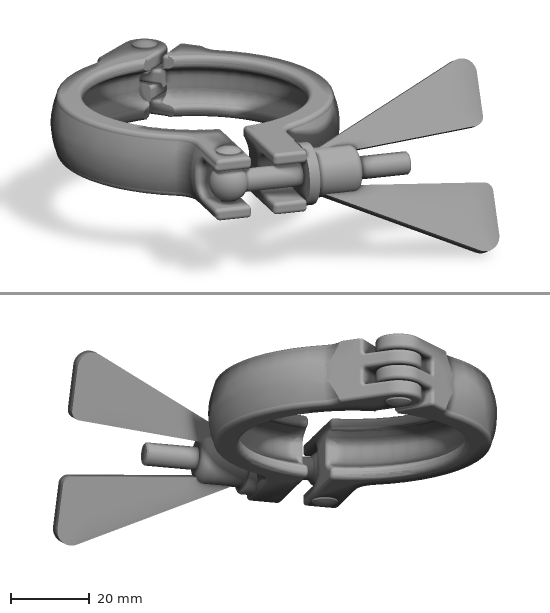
import cadquery as cq
import math


body_height = 16.3
half_height = body_height / 2
outer_radius = 36.8
rim_edge_radius = 35.4
face_outer_radius = 34.2
bore_radius = 28.8
edge_round = 1.3
groove_radius = 33.4
groove_floor_half = 3.1
groove_mouth_half = 4.9
groove_floor_round = 2.1
mouth_round = 1.3
half_gap = 3.0

lug_end_x = 53.7
lug_start_x = 37.1
neck_face_radius = 7.2
lug_round = 1.0
slot_start_x = 41.1
slot_half_height = 5.0
slot_corner_radius = 3.2
seat_y = 12.0
seat_radius = 8.7

hinge_x = -40.2
knuckle_radius = 5.8
arm_angle = 47.5
arm_length = 21.2
shoulder = 7.4
knuckle_gap = 0.3
knuckle_round = 0.8
flat_length = 12.5
relief_face_radius = 6.4

pin_radius = 2.1
pin_head_radius = 3.3
pin_head_rim = 0.4
pin_dome_height = 0.9

bolt_x = 47.6
bolt_radius = 3.0
bolt_end_y = 41.0
bolt_chamfer = 0.4
ball_y = -7.1
ball_radius = 5.04
ball_half_height = 4.72
flange_radius = 8.1
flange_top_y = 15.0
flange_round = 0.5
nut_radius = 6.4
nut_top_y = 27.2
nut_round = 2.2
nut_base_round = 0.6
wing_tilt = 25.0
wing_thickness = 4.2
wing_root_y = 15.9
wing_end_y = 61.9
wing_outer_root = 5.3
wing_outer_tip = 27.1
wing_inner_root = 3.66
wing_inner_tip = 7.47
wing_outer_round = 3.9
wing_inner_round = 2.3

far = 84.8
round_inset = 1 - math.sqrt(0.5)
margin = 0.1


def polar(radius, angle):
    return radius * math.cos(angle), radius * math.sin(angle)


def box_between(low, high):
    size = [b - a for a, b in zip(low, high)]
    return cq.Workplane("XY").box(*size, centered=False).translate(low)


def edges_at_y(body, y):
    """Edges on the closing side of the clamp that are centred on the plane at y."""
    return body.edges(cq.selectors.BoxSelector((0, y - margin, -far), (far, y + margin, far)))


def cylinder_y(radius, low, high):
    """Cylinder on the bolt axis between two Y positions."""
    return cq.Workplane("XZ").circle(radius).extrude(low - high).translate((bolt_x, low, 0))


def prism(points):
    return cq.Workplane("XY").polyline(points).close().extrude(half_height, both=True)


def rim_path(start, place):
    """Draw the rim from the top face to the bottom face; place maps a radius to a sketch coordinate."""
    rim_width = rim_edge_radius - face_outer_radius
    mid_radius = rim_edge_radius - round_inset * rim_width
    mid_height = half_height - round_inset * edge_round
    side_height = half_height - edge_round
    return (
        start.threePointArc((place(mid_radius), mid_height), (place(rim_edge_radius), side_height))
        .threePointArc((place(outer_radius), 0), (place(rim_edge_radius), -side_height))
        .threePointArc((place(mid_radius), -mid_height), (place(face_outer_radius), -half_height))
    )


def rim_section(place, base):
    """Closed section between the straight line at base and the rim."""
    start = cq.Workplane("XZ").moveTo(base, half_height).lineTo(place(face_outer_radius), half_height)
    return rim_path(start, place).lineTo(base, -half_height).close()


def concave_blend(centre, face_radius):
    """Round cutter whose waisted side rolls tangent along the rim of the ring."""
    centre_distance = face_outer_radius + face_radius
    section = rim_section(lambda radius: centre_distance - radius, 0)
    return section.revolve(360, (0, 0, 0), (0, 1, 0)).translate((centre[0], centre[1], 0))


def bore_cutter():
    """Bore with rounded mouths and the tapered groove inside it."""
    lip_mid = edge_round * round_inset
    mouth_mid = mouth_round * round_inset
    side_height = half_height - edge_round
    lip_low = groove_mouth_half + mouth_round
    section = (
        cq.Workplane("XZ")
        .moveTo(0, half_height)
        .lineTo(bore_radius + edge_round, half_height)
        .threePointArc((bore_radius + lip_mid, half_height - lip_mid), (bore_radius, side_height))
        .lineTo(bore_radius, lip_low)
        .threePointArc(
            (bore_radius + mouth_mid, groove_mouth_half + mouth_mid),
            (bore_radius + mouth_round, groove_mouth_half),
        )
        .lineTo(groove_radius, groove_floor_half)
        .lineTo(groove_radius, 0)
        .lineTo(0, 0)
        .close()
    )
    upper = section.revolve(360, (0, 0, 0), (0, 1, 0))
    floor_low = (-far, -far, groove_floor_half - margin)
    floor_high = (far, far, groove_floor_half + margin)
    floor_rim = upper.edges(cq.selectors.BoxSelector(floor_low, floor_high, boundingbox=True))
    upper = floor_rim.fillet(groove_floor_round)
    return upper.union(upper.mirror("XY"))


def to_arm(body):
    """Move a body from the hinge frame (pin at the origin, arm along +X) to its place."""
    return body.rotate((0, 0, 0), (0, 0, 1), arm_angle).translate((hinge_x, 0, 0))


def hinge_side(distance):
    """Half space on the hinge side of a plane across the arm, at this distance from the hinge pin."""
    return to_arm(box_between((-far, -far, -far), (distance, far, far)))


def hinge_arm():
    """Arm with two rounded knuckles, blended into the ring on its outer side."""
    arm = (
        cq.Workplane("XY")
        .moveTo(arm_length, knuckle_radius)
        .lineTo(0, knuckle_radius)
        .threePointArc((-knuckle_radius, 0), (0, -knuckle_radius))
        .lineTo(arm_length, -knuckle_radius)
        .close()
        .extrude(half_height, both=True)
    )
    pitch = body_height / 4
    for slot_bottom, slot_top in ((pitch, far), (-pitch, 0)):
        low = (-far, -far, slot_bottom - knuckle_gap / 2)
        arm = arm.cut(box_between(low, (shoulder, far, slot_top + knuckle_gap / 2)))
    arm = arm.edges("not(>X)").fillet(knuckle_round)
    arm = to_arm(arm)

    tilt = math.radians(arm_angle)
    flat_end_x = hinge_x + flat_length * math.cos(tilt) - knuckle_radius * math.sin(tilt)
    flat_end_y = flat_length * math.sin(tilt) + knuckle_radius * math.cos(tilt)
    flat_end_distance = math.hypot(flat_end_x, flat_end_y)
    centre_distance = face_outer_radius + relief_face_radius
    cosine = (flat_end_distance**2 + centre_distance**2 - relief_face_radius**2) / (
        2 * flat_end_distance * centre_distance
    )
    centre_angle = math.atan2(flat_end_y, flat_end_x) - math.acos(cosine)
    wedge = prism([(0, 0), polar(far, centre_angle), (-far, far), (-far, -far)])
    return arm.intersect(wedge).cut(concave_blend(polar(centre_distance, centre_angle), relief_face_radius))


def seat_outline():
    """Full-depth block in plan: a round start around the bolt axis, open at the lug end."""
    start = cylinder_y(seat_radius, -far, far)
    return start.union(box_between((bolt_x, -far, -far), (far, far, far)))


def add_nut_seat(bar):
    """Replace the barrel side of the lug under the nut by a flat with rounded long edges."""
    flat_bar = box_between((lug_start_x, half_gap, -half_height), (lug_end_x, seat_y, half_height))
    flat_bar = flat_bar.edges("|X and >Y").fillet(lug_round)
    outline = seat_outline()
    return bar.cut(outline).union(flat_bar.intersect(outline))


def lug(has_nut_seat):
    """Lug with the barrel-shaped outer side, and the concave neck that joins it to the ring."""
    neck_distance = face_outer_radius + neck_face_radius
    neck_y = math.sqrt(neck_distance**2 - lug_start_x**2)
    rim_to_lug = neck_distance - neck_y
    section = rim_section(lambda radius: -(radius - rim_to_lug), -half_gap)
    bar = section.extrude(lug_start_x - lug_end_x)
    bar = bar.rotate((0, 0, 0), (0, 0, 1), -90).translate((lug_start_x, 0, 0))
    if has_nut_seat:
        bar = add_nut_seat(bar)
    near_x = half_gap * lug_start_x / neck_y
    neck = prism([(near_x, half_gap), (lug_start_x, neck_y), (lug_start_x, half_gap)])
    return bar.union(neck.cut(concave_blend((lug_start_x, neck_y), neck_face_radius)))


def fork_slot():
    length = 2 * (lug_end_x - slot_start_x)
    return (
        cq.Workplane("XZ")
        .center(lug_end_x, 0)
        .rect(length, 2 * slot_half_height)
        .extrude(far / 2, both=True)
        .edges("|Y")
        .fillet(slot_corner_radius)
    )


def clamp_half(has_nut_seat):
    """Half on the +Y side."""
    ring = rim_section(lambda radius: radius, 0).revolve(360, (0, 0, 0), (0, 1, 0))
    ring = ring.intersect(box_between((-far, half_gap, -far), (far, far, far)))
    ring = ring.cut(hinge_side(shoulder + knuckle_round))
    ring = ring.cut(to_arm(box_between((-far, -far, -far), (flat_length, -knuckle_radius, far))))
    body = ring.union(lug(has_nut_seat)).union(hinge_arm())
    body = body.cut(bore_cutter().cut(hinge_side(shoulder)))

    return round_lug(body.cut(fork_slot()))


def round_lug(body):
    """Round the rims of the gap face, of the lug end and of the fork slot together."""
    gap_rim = edges_at_y(body, half_gap)
    low = (slot_start_x - margin, -far, -slot_half_height - margin)
    high = (lug_end_x - margin, far, slot_half_height + margin)
    slot_rim = body.edges(cq.selectors.BoxSelector(low, high)).edges("not(|Y)")
    end_rim = body.faces(">X").edges()
    return gap_rim.add(slot_rim).add(end_rim).fillet(lug_round)


def rivet(x, y):
    """Pin through the full height with a domed head at each end."""
    pin = cq.Workplane("XY").circle(pin_radius).extrude(half_height, both=True)
    dome_radius = (pin_head_radius**2 + pin_dome_height**2) / (2 * pin_dome_height)
    head_height = pin_head_rim + pin_dome_height
    dome = cq.Workplane("XY").sphere(dome_radius).translate((0, 0, half_height + head_height - dome_radius))
    head = cq.Workplane("XY").workplane(offset=half_height).circle(pin_head_radius).extrude(head_height)
    head = head.intersect(dome)
    pin = pin.union(head).union(head.mirror("XY"))
    return pin.translate((x, y, 0))


def swing_bolt():
    bolt = cylinder_y(bolt_radius, ball_y, bolt_end_y).faces(">Y").chamfer(bolt_chamfer)
    ball = cq.Workplane("XY").sphere(ball_radius)
    ball = ball.intersect(box_between((-far, -far, -ball_half_height), (far, far, ball_half_height)))
    return bolt.union(ball.translate((bolt_x, ball_y, 0))).union(rivet(bolt_x, ball_y))


def nut_wing():
    """Tapered plate that rises from the bolt axis, leaning towards -X."""
    tilt = math.radians(wing_tilt)
    plane = cq.Plane(
        origin=(bolt_x, 0, 0),
        xDir=(-math.sin(tilt), 0, math.cos(tilt)),
        normal=(-math.cos(tilt), 0, -math.sin(tilt)),
    )
    outline = [
        (wing_inner_root, wing_root_y),
        (wing_outer_root, wing_root_y),
        (wing_outer_tip, wing_end_y),
        (wing_inner_tip, wing_end_y),
    ]
    wing = cq.Workplane(plane).polyline(outline).close().extrude(wing_thickness / 2, both=True)
    wing = wing.faces(">Y").edges(">Z").fillet(wing_outer_round)
    return wing.faces(">Y").edges("<Z").fillet(wing_inner_round)


def wing_nut():
    flange = cylinder_y(flange_radius, seat_y, flange_top_y).faces(">Y").edges().fillet(flange_round)
    barrel = cylinder_y(nut_radius, seat_y, nut_top_y).faces(">Y").edges().fillet(nut_round)
    nut = flange.union(barrel)
    base_rim = edges_at_y(nut, flange_top_y).edges(cq.selectors.RadiusNthSelector(0))
    nut = base_rim.fillet(nut_base_round)
    wing = nut_wing()
    opposite_wing = wing.rotate((bolt_x, 0, 0), (bolt_x, 1, 0), 180)
    return nut.union(wing).union(opposite_wing)


upper_half = clamp_half(has_nut_seat=True)
lower_half = clamp_half(has_nut_seat=False).rotate((0, 0, 0), (1, 0, 0), 180)

result = (
    upper_half.union(lower_half)
    .union(rivet(hinge_x, 0))
    .union(swing_bolt())
    .union(wing_nut())
)